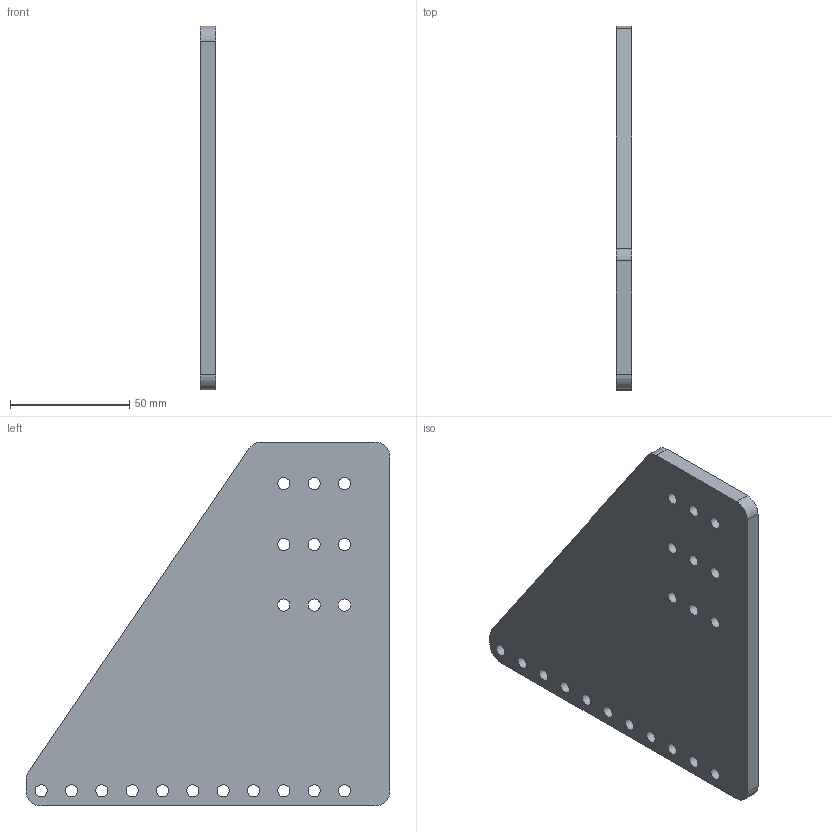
import cadquery as cq

thickness = 6.35
side = 152.4
top_edge_length = 57.15
outer_edge_height = 12.7
corner_radius = 6.35

hole_diameter = 5.11
hole_pitch = 12.7
first_hole_y = 1.5 * hole_pitch
bottom_row_z = hole_pitch / 2
bottom_row_count = 11
grid_columns = 3
grid_rows = 3
grid_row_pitch = 2 * hole_pitch
grid_top_z = 134.94


def make_plate():
    """Square plate with one corner cut off by a slope and all corners rounded."""
    outline = [
        (0, 0),
        (side, 0),
        (side, outer_edge_height),
        (top_edge_length, side),
        (0, side),
    ]
    plate = cq.Workplane("YZ").polyline(outline).close().extrude(thickness)
    return plate.edges("|X").fillet(corner_radius)


def hole_row(count, z):
    """Centres of a row of evenly spaced holes at height z."""
    return [(first_hole_y + i * hole_pitch, z) for i in range(count)]


def make_holes():
    """Through-hole cutters: one long bottom row and a grid near the top."""
    centres = hole_row(bottom_row_count, bottom_row_z)
    for row in range(grid_rows):
        centres += hole_row(grid_columns, grid_top_z - row * grid_row_pitch)
    return cq.Workplane("YZ").pushPoints(centres).circle(hole_diameter / 2).extrude(thickness)


result = make_plate().cut(make_holes())